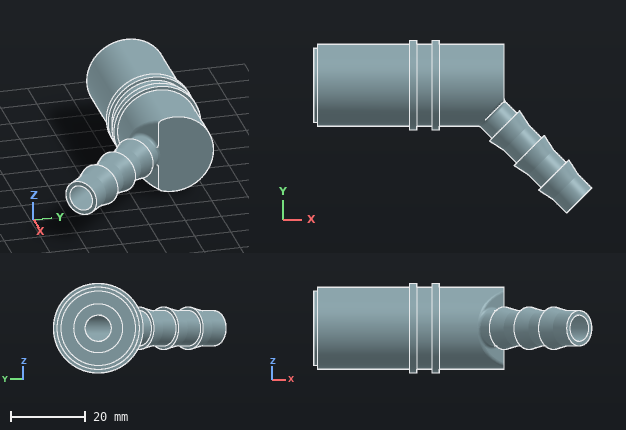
import cadquery as cq
import math

overall_length = 74.4
elbow_x = 40.15
bend_angle = 45.0

barrel_radius = 11.0
barrel_end = 50.95
mouth_radius = 10.0
mouth_step_length = 1.0
socket_radius = 6.55
socket_depth = 25.3
seat_distance = 10.6
seat_edge_fillet = 1.0

nozzle_radius = 4.75
nozzle_bore_radius = 3.5
nozzle_base_fillet = 1.0
edge_tolerance = 0.01
barb_radius = 5.7
barb_length = 4.5
barb_pitch = 9.3
barb_count = 3
nozzle_end_length = 5.1

ring_outer_diameter = 24.0
ring_width = 2.0
ring_pitch = 6.0
first_ring_x = 25.6
ring_count = 2

bend = math.radians(bend_angle)
nozzle_tip = (overall_length - elbow_x - nozzle_radius * math.sin(bend)) / math.cos(bend)

nozzle_plane = cq.Plane(
    origin=(elbow_x, 0, 0),
    xDir=(-math.sin(bend), -math.cos(bend), 0),
    normal=(math.cos(bend), -math.sin(bend), 0),
)


def make_barrel():
    """Stepped cylinder cut off by the slanted seat, with the seat edge rounded."""
    profile = [
        (0, 0),
        (0, -mouth_radius),
        (mouth_step_length, -mouth_radius),
        (mouth_step_length, -barrel_radius),
        (barrel_end, -barrel_radius),
        (barrel_end, 0),
    ]
    barrel = cq.Workplane("XY").polyline(profile).close().revolve(360, (0, 0, 0), (1, 0, 0))
    beyond_seat = (
        cq.Workplane(nozzle_plane)
        .workplane(offset=seat_distance)
        .rect(2 * barrel_end, 2 * barrel_end)
        .extrude(barrel_end)
    )
    barrel = barrel.cut(beyond_seat)
    seat = barrel.faces(cq.selectors.ParallelDirSelector(nozzle_plane.zDir))
    return seat.edges("%ELLIPSE").fillet(seat_edge_fillet)


def make_nozzle():
    """Solid stem from the elbow to the tip, with barbs whose flat faces point to the barrel."""
    first_barb = nozzle_tip - nozzle_end_length - barb_length - (barb_count - 1) * barb_pitch
    profile = [(0, 0), (nozzle_radius, 0)]
    for index in range(barb_count):
        barb_start = first_barb + index * barb_pitch
        profile += [
            (nozzle_radius, barb_start),
            (barb_radius, barb_start),
            (nozzle_radius, barb_start + barb_length),
        ]
    profile += [(nozzle_radius, nozzle_tip), (0, nozzle_tip)]
    section_plane = cq.Plane(nozzle_plane.origin, xDir=nozzle_plane.xDir, normal=(0, 0, 1))
    return cq.Workplane(section_plane).polyline(profile).close().revolve(360, (0, 0, 0), (0, 1, 0))


def is_nozzle_base_edge(edge):
    """True for an edge near the seat that lies on the nozzle's outer surface."""
    points = [nozzle_plane.toLocalCoords(point) for point in edge.positions([0.2, 0.5, 0.8])]
    on_nozzle = all(abs(math.hypot(point.x, point.y) - nozzle_radius) < edge_tolerance for point in points)
    near_seat = abs(points[1].z - seat_distance) < seat_edge_fillet
    return on_nozzle and near_seat


def make_passage():
    """Narrow bore along the barrel axis that turns at a mitre into the nozzle."""
    tip_x = elbow_x + nozzle_tip * math.cos(bend)
    tip_y = -nozzle_tip * math.sin(bend)
    path = cq.Workplane("XY").polyline([(0, 0), (elbow_x, 0), (tip_x, tip_y)])
    return cq.Workplane("YZ").circle(nozzle_bore_radius).sweep(path, transition="right")


def make_fitting():
    """Barrel and nozzle as one body, with the socket and the passage cut out."""
    body = make_barrel().union(make_nozzle())
    base_edges = [edge for edge in body.edges().vals() if is_nozzle_base_edge(edge)]
    body = body.newObject(base_edges).fillet(nozzle_base_fillet)
    socket = cq.Workplane("YZ").circle(socket_radius).extrude(socket_depth)
    return body.cut(socket).cut(make_passage())


def make_ring(start_x):
    """Flat ring that sits on the barrel."""
    ring = cq.Workplane("YZ").workplane(offset=start_x)
    return ring.circle(ring_outer_diameter / 2).circle(barrel_radius).extrude(ring_width)


fitting = make_fitting()
rings = [make_ring(first_ring_x + index * ring_pitch) for index in range(ring_count)]

result = cq.Compound.makeCompound([fitting.val(), *[ring.val() for ring in rings]])